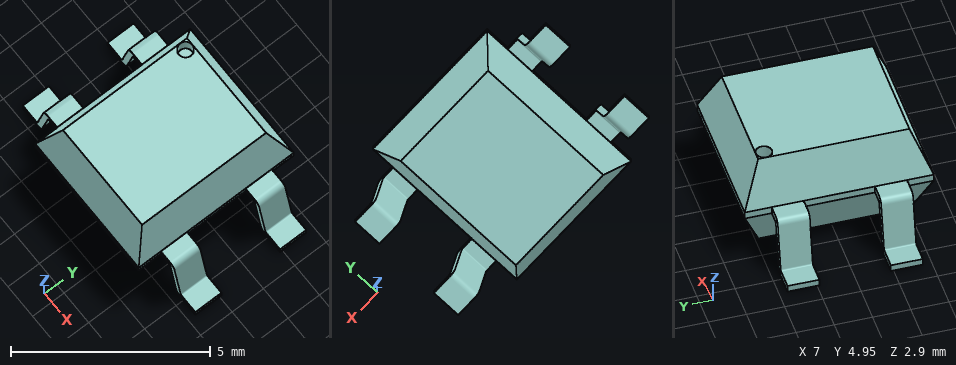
import cadquery as cq
import math

housing_length = 4.2
housing_width = 4.95
total_height = 2.9
belt_height = 0.2
taper_inset = 0.5

mark_diameter = 0.42
mark_inset = 0.22
mark_depth = 0.5

lead_span = 7.0
lead_width = 0.84
lead_thickness = 0.195
lead_pitch = 2.7
shank_angle = 11.2
shank_middle_x = 2.69
inner_bend_radius = 0.05
outer_bend_radius = 0.195

housing_bottom = lead_thickness
housing_middle = (housing_bottom + total_height) / 2
belt_bottom = housing_middle - belt_height / 2
belt_top = housing_middle + belt_height / 2
taper_height = total_height - belt_top


def make_tapered_half():
    """Frustum standing on z = 0, belt outline at its base."""
    return (
        cq.Workplane("XY")
        .rect(housing_length, housing_width)
        .workplane(offset=taper_height)
        .rect(housing_length - 2 * taper_inset, housing_width - 2 * taper_inset)
        .loft(ruled=True)
    )


def make_housing():
    belt = (
        cq.Workplane("XY", origin=(0, 0, belt_bottom))
        .rect(housing_length, housing_width)
        .extrude(belt_height)
    )
    upper_half = make_tapered_half().translate((0, 0, belt_top))
    lower_half = make_tapered_half().mirror("XY").translate((0, 0, belt_bottom))

    mark_x = -(housing_length / 2 - taper_inset - mark_inset)
    mark_y = housing_width / 2 - taper_inset - mark_inset
    mark_hole = (
        cq.Workplane("XY", origin=(mark_x, mark_y, total_height))
        .circle(mark_diameter / 2)
        .extrude(-mark_depth)
    )
    return belt.union(upper_half).union(lower_half).cut(mark_hole)


def make_lead(side, center_y):
    """Lead on the side = +1 or -1 end of X, from the housing face out to the foot."""
    foot_end_x = lead_span / 2
    housing_face_x = housing_length / 2
    arm_top = belt_top
    arm_bottom = arm_top - lead_thickness
    shank_middle_z = arm_top / 2
    shank_slope = math.tan(math.radians(shank_angle))
    half_shank = lead_thickness / 2 / math.cos(math.radians(shank_angle))

    def shank_x(z, offset):
        """X on the leaning shank at height z, offset from its centreline."""
        return shank_middle_x + offset - (z - shank_middle_z) * shank_slope

    outline = [
        (housing_face_x, arm_top),
        (shank_x(arm_top, half_shank), arm_top),
        (shank_x(lead_thickness, half_shank), lead_thickness),
        (foot_end_x, lead_thickness),
        (foot_end_x, 0),
        (shank_x(0, -half_shank), 0),
        (shank_x(arm_bottom, -half_shank), arm_bottom),
        (housing_face_x, arm_bottom),
    ]
    lead = (
        cq.Workplane("XZ")
        .polyline(outline)
        .close()
        .extrude(lead_width / 2, both=True)
    )

    bends = [
        (outline[1], outer_bend_radius),
        (outline[2], inner_bend_radius),
        (outline[5], outer_bend_radius),
        (outline[6], inner_bend_radius),
    ]
    for (x, z), radius in bends:
        corner_edge = cq.selectors.NearestToPointSelector((x, 0, z))
        lead = lead.edges("|Y").edges(corner_edge).fillet(radius)

    if side < 0:
        lead = lead.mirror("YZ")
    return lead.translate((0, center_y, 0))


housing = make_housing()

leads = []
for side in (-1, 1):
    for center_y in (-lead_pitch / 2, lead_pitch / 2):
        leads.append(make_lead(side, center_y))

result = cq.Compound.makeCompound([housing.val(), *[lead.val() for lead in leads]])